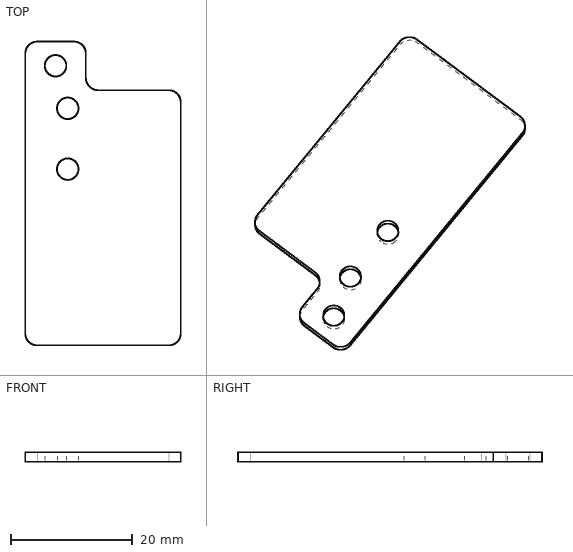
import cadquery as cq

width = 25.6
length = 50
thickness = 1.6
corner_radius = 2

tab_width = 10
tab_height = 8
shoulder_y = length - tab_height

hole_diameter = 3.5
tab_hole = (tab_width / 2, length - tab_height / 2)
pair_x = 7
pair_upper_y = 39
pair_spacing = 10
hole_centers = [
    tab_hole,
    (pair_x, pair_upper_y),
    (pair_x, pair_upper_y - pair_spacing),
]

outline = [
    (0, 0),
    (width, 0),
    (width, shoulder_y),
    (tab_width, shoulder_y),
    (tab_width, length),
    (0, length),
]

plate = cq.Workplane("XY").polyline(outline).close().extrude(thickness)
plate = plate.edges("|Z").fillet(corner_radius)

holes = cq.Workplane("XY").pushPoints(hole_centers).circle(hole_diameter / 2).extrude(thickness)

result = plate.cut(holes)